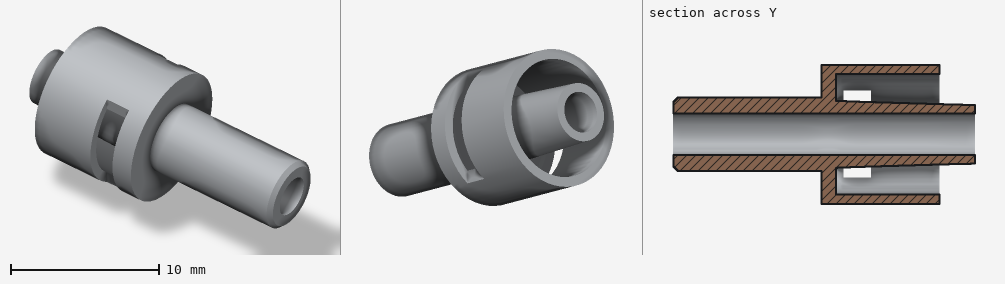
import cadquery as cq

total_length = 20.4
collar_start = 2.4
collar_end = 10.4
slot_start = 7.04
slot_width = 1.84
slot_end = slot_start + slot_width
cavity_floor = 9.38

collar_diameter = 9.45
cavity_diameter = 8.1
shaft_diameter = 5.0
bore_diameter = 2.8
nozzle_tip_diameter = 4.0
nozzle_taper = 0.06
nozzle_base_diameter = nozzle_tip_diameter + nozzle_taper * cavity_floor

shaft_chamfer = 0.3
slot_floor_offset = 2.8


def make_body():
    """Revolve the tapered nozzle, hollow collar, shaft and through bore about X."""
    bore_radius = bore_diameter / 2
    shaft_radius = shaft_diameter / 2
    profile = [
        (0, bore_radius),
        (0, nozzle_tip_diameter / 2),
        (cavity_floor, nozzle_base_diameter / 2),
        (cavity_floor, cavity_diameter / 2),
        (collar_start, cavity_diameter / 2),
        (collar_start, collar_diameter / 2),
        (collar_end, collar_diameter / 2),
        (collar_end, shaft_radius),
        (total_length - shaft_chamfer, shaft_radius),
        (total_length, shaft_radius - shaft_chamfer),
        (total_length, bore_radius),
    ]
    return cq.Workplane("XY").polyline(profile).close().revolve(360, (0, 0, 0), (1, 0, 0))


def make_slot(side):
    """Straight cut across the collar wall on the +Y (side=1) or -Y (side=-1) side."""
    depth = collar_diameter / 2
    center_y = side * (slot_floor_offset + depth / 2)
    center_x = (slot_start + slot_end) / 2
    return cq.Workplane("XY").box(slot_width, depth, collar_diameter).translate((center_x, center_y, 0))


result = make_body()
for side in (-1, 1):
    result = result.cut(make_slot(side))